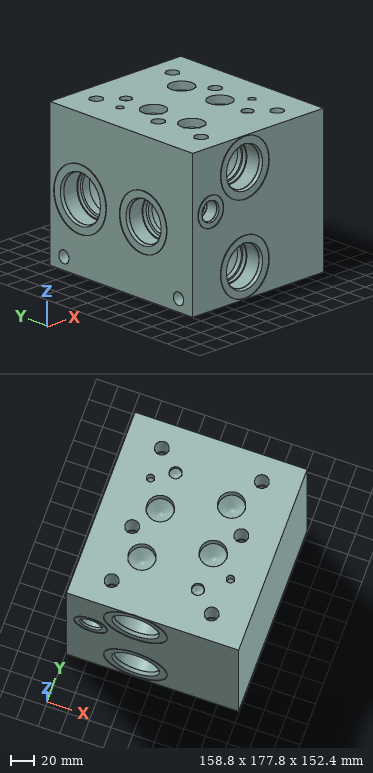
import cadquery as cq
import math

LENGTH_X = 158.8
LENGTH_Y = 177.8
LENGTH_Z = 152.4

DRILL_POINT_ANGLE = 118.0
SHOULDER_ANGLE = 130.0
SEAT_ANGLE = 15.0
SPOTFACE_DEPTH = 0.7

FRONT = cq.Plane(origin=(0, -LENGTH_Y / 2, 0), xDir=(1, 0, 0), normal=(0, -1, 0))
LEFT = cq.Plane(origin=(-LENGTH_X / 2, 0, 0), xDir=(0, -1, 0), normal=(-1, 0, 0))
TOP = cq.Plane(origin=(0, 0, LENGTH_Z / 2), xDir=(1, 0, 0), normal=(0, 0, 1))


def tip_length(diameter, included_angle=DRILL_POINT_ANGLE):
    """Length of the conical tip left by a drill."""
    return diameter / 2 / math.tan(math.radians(included_angle / 2))


def round_cutter(face, spot, sections, point_angle=DRILL_POINT_ANGLE):
    """Stepped round cutter entering a face.

    Each section is (start diameter, end diameter, end depth); a drill tip closes the last one.
    """
    x, y = spot
    profile = [(0, 0)]
    depth = 0
    previous_diameter = 0
    for start_diameter, end_diameter, end_depth in sections:
        if start_diameter != previous_diameter:
            profile.append((start_diameter / 2, -depth))
        profile.append((end_diameter / 2, -end_depth))
        depth = end_depth
        previous_diameter = end_diameter
    profile.append((0, -depth - tip_length(previous_diameter, point_angle)))
    axis_plane = cq.Plane(origin=face.toWorldCoords((x, y, 0)), xDir=face.xDir, normal=face.yDir * -1)
    return cq.Workplane(axis_plane).polyline(profile).close().revolve(360, (0, 0, 0), (0, 1, 0))


def port_sections(spotface, mouth, seat, thread, thread_depth, bore, bore_depth, drill, drill_depth):
    """Spotface, tapered seat, thread, bore, its conical shoulder and drill, from the face inwards."""
    seat_depth = SPOTFACE_DEPTH + (mouth - seat) / 2 / math.tan(math.radians(SEAT_ANGLE))
    shoulder_depth = bore_depth + tip_length(bore, SHOULDER_ANGLE) - tip_length(drill, SHOULDER_ANGLE)
    return [
        (spotface, spotface, SPOTFACE_DEPTH),
        (mouth, seat, seat_depth),
        (thread, thread, thread_depth),
        (bore, bore, bore_depth),
        (bore, drill, shoulder_depth),
        (drill, drill, drill_depth),
    ]


WORK_PORT_X = -15.8
WORK_PORT_Z = 46.0
WORK_PORT = port_sections(
    spotface=58.5, mouth=43.5, seat=41.8, thread=41.2, thread_depth=19.0,
    bore=39.3, bore_depth=23.1, drill=37.0, drill_depth=28.5,
)
PASSAGE_A_DIAMETER = 23.1
PASSAGE_A_DEPTH = 37.3
PASSAGE_A_POINT_ANGLE = 30.0

DRAIN_PORT_SPOT = (-57.0, 16.0)
DRAIN_PORT = port_sections(
    spotface=30.5, mouth=20.5, seat=19.4, thread=19.0, thread_depth=14.5,
    bore=17.6, bore_depth=16.7, drill=15.0, drill_depth=21.3,
)

LEFT_PORT_Z = -4.8
PRESSURE_PORT_Y = -27.0
TANK_PORT_Y = 51.5
PRESSURE_PORT = port_sections(
    spotface=58.5, mouth=43.5, seat=41.8, thread=41.2, thread_depth=19.0,
    bore=39.3, bore_depth=23.1, drill=35.7, drill_depth=28.5,
)
TANK_PORT = port_sections(
    spotface=64.9, mouth=49.8, seat=48.0, thread=47.7, thread_depth=19.7,
    bore=45.5, bore_depth=23.1, drill=42.1, drill_depth=32.0,
)

TAPPED_HOLE = [(12.6, 12.6, 25.5), (10.7, 10.7, 31.1)]
FOOT_HOLE_Y = 71.3
FOOT_HOLE_Z = -63.5

BOLT_X = 46.0
BOLT_Y = 65.0
MIDDLE_BOLT_Y = 12.0
BOLT_SPOTS = [
    (-BOLT_X, -BOLT_Y),
    (-BOLT_X, -MIDDLE_BOLT_Y),
    (-BOLT_X, BOLT_Y),
    (BOLT_X, -BOLT_Y),
    (BOLT_X, MIDDLE_BOLT_Y),
    (BOLT_X, BOLT_Y),
]

VALVE_PORT = [(24.5, 24.5, 8.2)]
VALVE_PORT_X = 28.6
VALVE_PORT_OUTER_Y = 35.7
VALVE_PORT_SPOTS = [
    (-VALVE_PORT_X, MIDDLE_BOLT_Y),
    (-VALVE_PORT_X, -VALVE_PORT_OUTER_Y),
    (VALVE_PORT_X, VALVE_PORT_OUTER_Y),
    (VALVE_PORT_X, -MIDDLE_BOLT_Y),
]

PILOT_PORT = [(11.2, 11.2, 3.7)]
PILOT_PORT_X = 27.2
PILOT_PORT_Y = 47.7
PILOT_PORT_SPOTS = [(-PILOT_PORT_X, PILOT_PORT_Y), (PILOT_PORT_X, -PILOT_PORT_Y)]

PIN_HOLE = [(7.1, 7.1, 8.9)]
RIGHT_PIN_X = 50.7
RIGHT_PIN_Y = -29.2
PIN_HOLE_SPOTS = [(-BOLT_X, VALVE_PORT_OUTER_Y), (RIGHT_PIN_X, RIGHT_PIN_Y)]


result = cq.Workplane("XY").box(LENGTH_X, LENGTH_Y, LENGTH_Z)

for z in (-WORK_PORT_Z, WORK_PORT_Z):
    result = result.cut(round_cutter(FRONT, (WORK_PORT_X, z), WORK_PORT))

passage_a = [(PASSAGE_A_DIAMETER, PASSAGE_A_DIAMETER, PASSAGE_A_DEPTH)]
result = result.cut(
    round_cutter(FRONT, (WORK_PORT_X, -WORK_PORT_Z), passage_a, PASSAGE_A_POINT_ANGLE)
)

result = result.cut(round_cutter(FRONT, DRAIN_PORT_SPOT, DRAIN_PORT))

result = result.cut(round_cutter(LEFT, (-PRESSURE_PORT_Y, LEFT_PORT_Z), PRESSURE_PORT))
result = result.cut(round_cutter(LEFT, (-TANK_PORT_Y, LEFT_PORT_Z), TANK_PORT))

for y in (-FOOT_HOLE_Y, FOOT_HOLE_Y):
    result = result.cut(round_cutter(LEFT, (-y, FOOT_HOLE_Z), TAPPED_HOLE))

for sections, spots in (
    (TAPPED_HOLE, BOLT_SPOTS),
    (VALVE_PORT, VALVE_PORT_SPOTS),
    (PILOT_PORT, PILOT_PORT_SPOTS),
    (PIN_HOLE, PIN_HOLE_SPOTS),
):
    for spot in spots:
        result = result.cut(round_cutter(TOP, spot, sections))